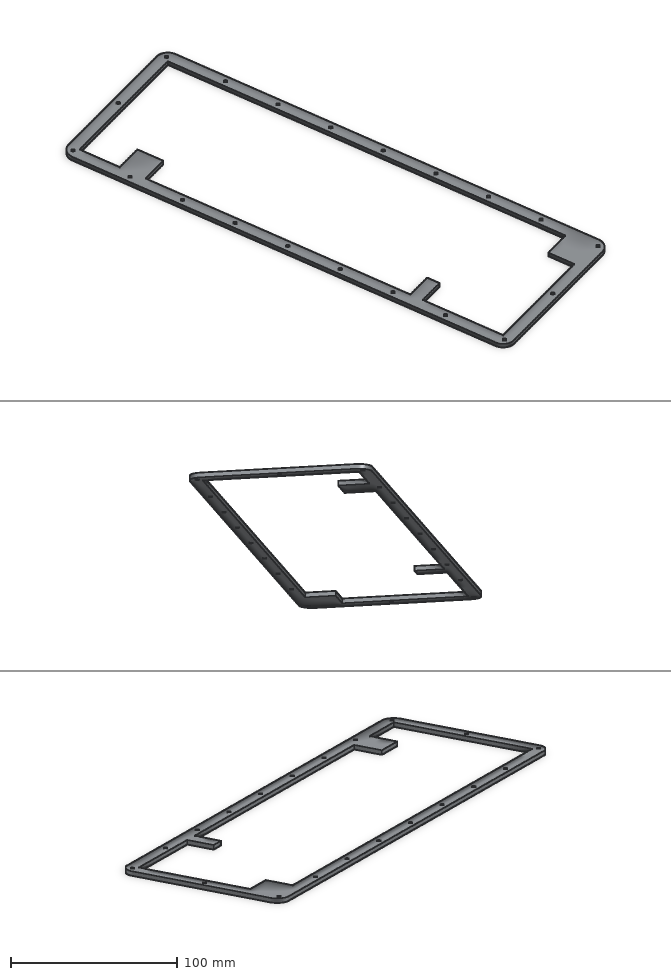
import cadquery as cq

length = 322.0
width = 112.3
thickness = 3.0
rim = 8.0
corner_radius = rim

corner_pad_size = 18.7
wide_tab_width = 18.7
wide_tab_reach = 19.3
wide_tab_center = -114.5
narrow_tab_width = 9.0
narrow_tab_reach = 18.5
narrow_tab_center = 90.5

hole_diameter = 2.2
hole_pitch = 38.0
holes_per_long_side = 7
rim_hole_inset = rim / 2
corner_hole_inset = 5.0

window_length = length - 2 * rim
window_width = width - 2 * rim


def pad(x_min, x_max, y_min, y_max):
    """Full-thickness rectangular pad between the given limits."""
    return cq.Workplane("XY").box(
        x_max - x_min, y_max - y_min, thickness, centered=False
    ).translate((x_min, y_min, 0))


def front_tab(center, tab_width, reach):
    """Tab rising from the -Y rail, rooted in the rail."""
    window_edge = -window_width / 2
    half_width = tab_width / 2
    return pad(center - half_width, center + half_width, window_edge - rim / 2, window_edge + reach)


def hole_positions():
    """Holes along the long rails, mid-way on the short rails and in the corners."""
    rail_y = width / 2 - rim_hole_inset
    rail_x = length / 2 - rim_hole_inset
    corner_x = length / 2 - corner_hole_inset
    corner_y = width / 2 - corner_hole_inset
    points = []
    for y_side in (-1, 1):
        for index in range(holes_per_long_side):
            x = (index - (holes_per_long_side - 1) / 2) * hole_pitch
            points.append((x, y_side * rail_y))
        for x_side in (-1, 1):
            points.append((x_side * corner_x, y_side * corner_y))
    for x_side in (-1, 1):
        points.append((x_side * rail_x, 0))
    return points


frame = (
    cq.Workplane("XY")
    .box(length, width, thickness, centered=(True, True, False))
    .edges("|Z")
    .fillet(corner_radius)
)
window = cq.Workplane("XY").box(window_length, window_width, thickness, centered=(True, True, False))
frame = frame.cut(window)

corner_pad = pad(
    window_length / 2 - corner_pad_size,
    window_length / 2 + rim / 2,
    window_width / 2 - corner_pad_size,
    window_width / 2 + rim / 2,
)
frame = frame.union(corner_pad)
frame = frame.union(front_tab(wide_tab_center, wide_tab_width, wide_tab_reach))
frame = frame.union(front_tab(narrow_tab_center, narrow_tab_width, narrow_tab_reach))

holes = (
    cq.Workplane("XY")
    .pushPoints(hole_positions())
    .circle(hole_diameter / 2)
    .extrude(thickness)
)
result = frame.cut(holes).clean()